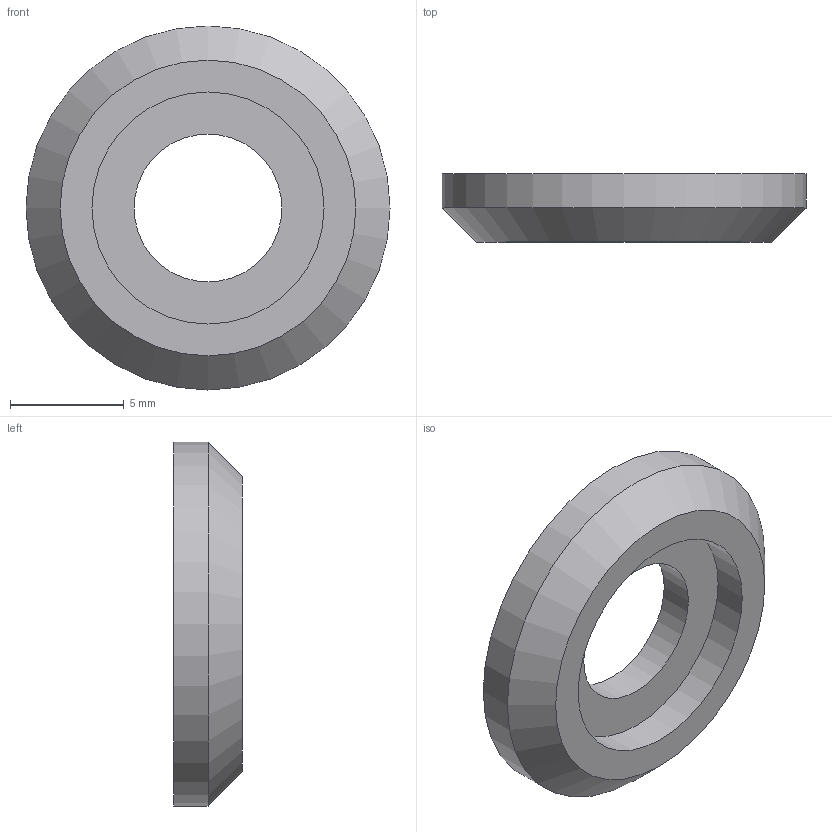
import cadquery as cq

outer_diameter = 16.0
thickness = 3.0
chamfer = 1.5
bore_diameter = 6.5
recess_diameter = 10.2
recess_depth = 1.5


def disc(diameter, length):
    """Cylinder about the Y axis, from the front face at Y = 0 towards +Y."""
    return cq.Workplane("XZ").circle(diameter / 2).extrude(-length)


body = disc(outer_diameter, thickness).faces("<Y").edges().chamfer(chamfer)

recess = disc(recess_diameter, recess_depth)
bore = disc(bore_diameter, thickness)

result = body.cut(recess).cut(bore)